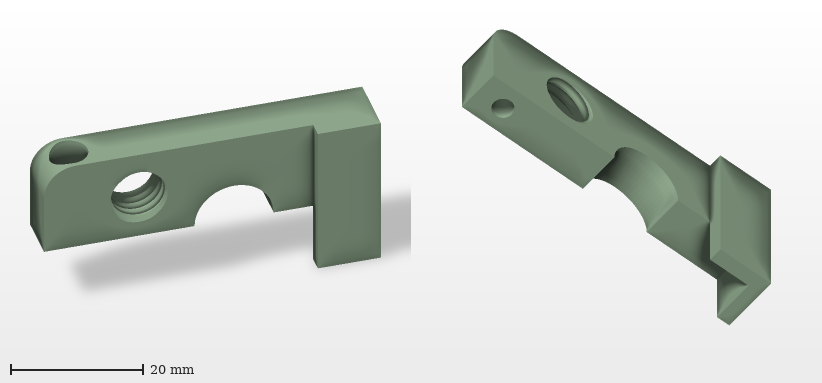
import cadquery as cq

length = 52.5
width = 10.0
height = 25.0

arm_width = 7.5
arm_height = 15.0
arm_bottom = height - arm_height
tab_length = 10.0
end_wall = 2.4
nose_radius = 5.0

notch_diameter = 12.5
notch_y = length - 22.45

thread_y = 15.0
thread_z = 17.55
minor_diameter = 8.4
major_diameter = 10.0
turns = 5
pitch = arm_width / turns
groove_mouth = pitch * 3 / 4
groove_root = pitch / 8

screw_diameter = 3.5
counterbore_diameter = 6.0
counterbore_depth = 7.5
screw_x = arm_width / 2
screw_y = nose_radius


def box(size_x, size_y, size_z, corner):
    """Box placed by its lowest X, Y, Z corner."""
    return cq.Workplane("XY").box(size_x, size_y, size_z, centered=False).translate(corner)


def make_body():
    """Arm with a rounded nose, joined to the end wall and the side tab."""
    arm = box(arm_width, length, arm_height, (0, 0, arm_bottom))
    arm = arm.edges("|X and <Y and >Z").fillet(nose_radius)
    wall = box(width, end_wall, height, (0, length - end_wall, 0))
    tab = box(width - arm_width, tab_length, height, (arm_width, length - tab_length, 0))
    return arm.union(wall).union(tab)


def make_notch():
    return (
        cq.Workplane("YZ")
        .center(notch_y, arm_bottom)
        .circle(notch_diameter / 2)
        .extrude(arm_width)
    )


def make_thread_groove():
    """Right-hand V groove, extended one turn past each side of the arm."""
    minor_radius = minor_diameter / 2
    major_radius = major_diameter / 2
    flank_slope = (groove_mouth - groove_root) / (major_radius - minor_radius)
    overlap = 0.1
    inner_width = groove_mouth + overlap * flank_slope
    helix = cq.Wire.makeHelix(pitch, pitch * (turns + 2), minor_radius)
    groove = (
        cq.Workplane("XZ")
        .moveTo(minor_radius - overlap, -inner_width / 2)
        .lineTo(major_radius, -groove_root / 2)
        .lineTo(major_radius, groove_root / 2)
        .lineTo(minor_radius - overlap, inner_width / 2)
        .close()
        .sweep(cq.Workplane(obj=helix), isFrenet=True)
    )
    groove = groove.rotate((0, 0, 0), (0, 1, 0), 90)
    return groove.translate((-pitch, thread_y, thread_z))


def make_thread_bore():
    return (
        cq.Workplane("YZ")
        .center(thread_y, thread_z)
        .circle(minor_diameter / 2)
        .extrude(arm_width)
    )


def make_screw_hole():
    """Through hole with a deep counterbore from the top."""
    hole = cq.Workplane("XY").circle(screw_diameter / 2).extrude(height)
    counterbore = (
        cq.Workplane("XY")
        .workplane(offset=height - counterbore_depth)
        .circle(counterbore_diameter / 2)
        .extrude(counterbore_depth)
    )
    return hole.union(counterbore).translate((screw_x, screw_y, 0))


result = make_body().cut(make_notch()).cut(make_screw_hole())
result = result.cut(make_thread_groove()).cut(make_thread_bore())